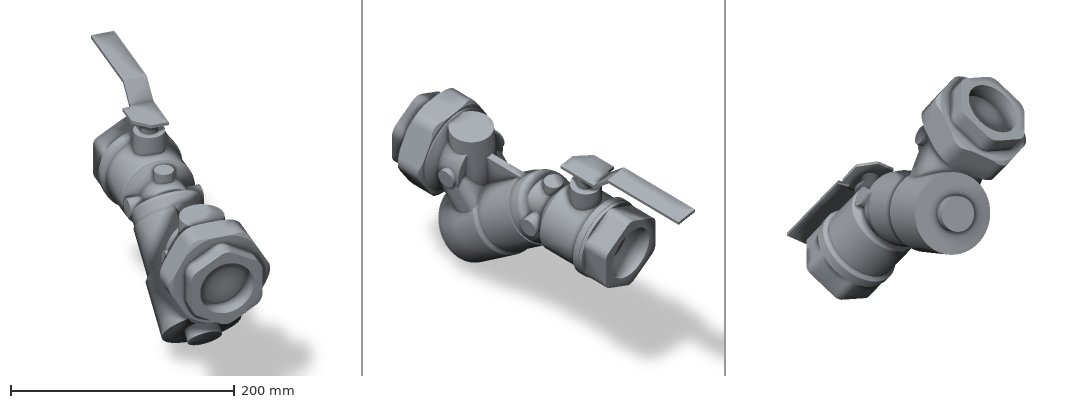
import cadquery as cq
import math


HEX_APOTHEM = 34.0
INLET_HEX_LENGTH = 25.3
INLET_HEX_ROUND = 9.0
PORT_RADIUS = 25.5
COLLAR_STEP_X = 28.8
COLLAR_END_X = 35.0
COLLAR_STEP_RADIUS = 38.0
COLLAR_RADIUS = 38.7
BALL_START_X = 37.8
BALL_END_X = 76.0
BALL_RADIUS = 35.2
BALL_ROUND_X = 78.0
BALL_ROUND_RADIUS = 34.0
NECK_START_X = 87.7
NECK_END_X = 109.8
NECK_RADIUS = 23.5
NECK_ROUND = 4.0

STEM_X = 53.0
BOSS_RADIUS = 14.5
BOSS_TOP = 53.0
STEM_RADIUS = 8.0
LEVER_THICKNESS = 3.2
LEVER_TOP = 70.5
GRIP_TOP = 87.0
GRIP_LEFT_X = -66.5
GRIP_RIGHT_X = 12.8
LEVER_UPPER_BEND_X = 17.5
LEVER_BEND_ANGLE = 45.0
LEVER_RIGHT_X = 73.5
LEVER_HALF_WIDTH = 11.2
TAB_LEFT_X = 36.5
TAB_Y = -19.2
TAB_CHAMFER = 13.8

LUG_RADIUS = 9.0
INLET_LUG_X = 91.2
SIDE_LUG_REACH = 35.2
TOP_LUG_TOP = 32.5

STRAINER_ANGLE = 40.0
STRAINER_X = 96.0
HEAD_START = -1.0
HEAD_END = 15.0
HEAD_RADIUS = 33.0
HEAD_ROUND = 4.8
TUBE_RADIUS = 34.2
TUBE_END = 62.5
CUP_START = 66.2
CUP_END = 120.0
CUP_RADIUS = 37.0
PLUG_END = 131.2
PLUG_RADIUS = 16.0

ARM_START = 63.0
ARM_ROUND_CENTRE = 80.3
ARM_HALF_WIDTH = 30.0
ARM_CORNER_ROUND = 8.0
ARM_LENGTH = 128.0

OUTLET_X = 188.8
OUTLET_START_X = 178.0
OUTLET_RADIUS = 31.0
CONE_START_X = 201.3
CONE_END_X = 207.7
FLANGE_RADIUS = 41.5
NUT_START_X = 208.5
UPRIGHT_TOP = 39.5
UPRIGHT_BOTTOM = -19.2
UPRIGHT_RADIUS = 20.5
UPRIGHT_DRAFT = 3.5
RIB_THICKNESS = 7.0
RIB_TOP = 17.3
RIB_BOTTOM = -12.8
RIB_START_X = 115.2

NUT_END_X = 236.0
NUT_APOTHEM = 44.0
NUT_ROUND = 13.8
NUT_CHAMFER_RADIUS = 44.8
NUT_CHAMFER_ANGLE = 30.0
TAIL_END_X = 253.5
TAIL_HEX_ROUND = 12.0

strainer_tilt = math.radians(STRAINER_ANGLE)
strainer_plane = cq.Plane(
    origin=(STRAINER_X, 0, 0),
    xDir=(math.cos(strainer_tilt), 0, -math.sin(strainer_tilt)),
    normal=(math.sin(strainer_tilt), 0, math.cos(strainer_tilt)),
)


def spin(profile):
    """Revolve a closed profile about the local x axis."""
    return profile.close().revolve(360, (0, 0, 0), (1, 0, 0))


def cylinder_x(start, end, radius):
    return cq.Workplane("YZ", origin=(start, 0, 0)).circle(radius).extrude(end - start)


def cylinder_z(x, bottom, top, radius):
    return cq.Workplane("XY", origin=(x, 0, bottom)).circle(radius).extrude(top - bottom)


def beam(start, end, width, bottom, top):
    """Rectangular block along X, centred on Y = 0."""
    block = cq.Workplane("XY").box(end - start, width, top - bottom, centered=(False, True, False))
    return block.translate((start, 0, bottom))


def rounded_hexagon(start, end, apothem, corner_round, corner_angle):
    """Hexagonal prism along X with rounded edges; corner_angle is measured from +Y."""
    corner_distance = apothem / math.cos(math.pi / 6)
    corners = []
    for i in range(6):
        angle = math.radians(corner_angle + 60 * i)
        corners.append((corner_distance * math.cos(angle), corner_distance * math.sin(angle)))
    prism = cq.Workplane("YZ", origin=(start, 0, 0)).polyline(corners).close().extrude(end - start)
    return prism.edges("|X").fillet(corner_round)


def side_lugs(x):
    """Round lug through the housing, standing out on both sides."""
    return cq.Workplane("XZ", origin=(x, 0, 0)).circle(LUG_RADIUS).extrude(SIDE_LUG_REACH, both=True)


def make_inlet():
    hexagon = rounded_hexagon(0, INLET_HEX_LENGTH, HEX_APOTHEM, INLET_HEX_ROUND, 90)
    barrel = spin(
        cq.Workplane("XY")
        .moveTo(INLET_HEX_LENGTH, 0)
        .lineTo(INLET_HEX_LENGTH, COLLAR_STEP_RADIUS)
        .lineTo(COLLAR_STEP_X, COLLAR_STEP_RADIUS)
        .lineTo(COLLAR_STEP_X, COLLAR_RADIUS)
        .lineTo(COLLAR_END_X, COLLAR_RADIUS)
        .lineTo(BALL_START_X, BALL_RADIUS)
        .lineTo(BALL_END_X, BALL_RADIUS)
        .tangentArcPoint((BALL_ROUND_X, BALL_ROUND_RADIUS), relative=False)
        .lineTo(NECK_START_X, NECK_RADIUS)
        .lineTo(NECK_END_X - NECK_ROUND, NECK_RADIUS)
        .tangentArcPoint((NECK_END_X, NECK_RADIUS - NECK_ROUND), relative=False)
        .lineTo(NECK_END_X, 0)
    )
    stem_boss = cylinder_z(STEM_X, 0, BOSS_TOP, BOSS_RADIUS)
    top_lug = cylinder_z(INLET_LUG_X, 0, TOP_LUG_TOP, LUG_RADIUS)
    return hexagon.union(barrel).union(stem_boss).union(top_lug).union(side_lugs(INLET_LUG_X))


def make_strainer():
    return spin(
        cq.Workplane(strainer_plane)
        .moveTo(HEAD_START, 0)
        .lineTo(HEAD_START, HEAD_RADIUS - HEAD_ROUND)
        .radiusArc((HEAD_START + HEAD_ROUND, HEAD_RADIUS), HEAD_ROUND)
        .lineTo(HEAD_END, HEAD_RADIUS)
        .lineTo(HEAD_END, TUBE_RADIUS)
        .lineTo(TUBE_END, TUBE_RADIUS)
        .lineTo(CUP_START, CUP_RADIUS)
        .lineTo(CUP_END, CUP_RADIUS)
        .lineTo(CUP_END, PLUG_RADIUS)
        .lineTo(PLUG_END, PLUG_RADIUS)
        .lineTo(PLUG_END, 0)
    )


def make_arm():
    """Arm square to the strainer: rounded front corners and a half-round back."""
    arm = (
        cq.Workplane(strainer_plane)
        .moveTo(ARM_START, -ARM_HALF_WIDTH)
        .lineTo(ARM_ROUND_CENTRE, -ARM_HALF_WIDTH)
        .threePointArc((ARM_ROUND_CENTRE + ARM_HALF_WIDTH, 0), (ARM_ROUND_CENTRE, ARM_HALF_WIDTH))
        .lineTo(ARM_START, ARM_HALF_WIDTH)
        .close()
        .extrude(ARM_LENGTH)
    )
    along_arm = cq.selectors.ParallelDirSelector(strainer_plane.zDir)
    front_face = cq.selectors.DirectionMinMaxSelector(strainer_plane.xDir, directionMax=False)
    arm = arm.faces(front_face).edges(along_arm).fillet(ARM_CORNER_ROUND)
    below_axis = beam(0, NUT_START_X, 2 * ARM_HALF_WIDTH, -ARM_LENGTH, 0)
    return arm.intersect(below_axis)


def make_outlet():
    barrel = spin(
        cq.Workplane("XY")
        .moveTo(OUTLET_START_X, 0)
        .lineTo(OUTLET_START_X, OUTLET_RADIUS)
        .lineTo(CONE_START_X, OUTLET_RADIUS)
        .lineTo(CONE_END_X, FLANGE_RADIUS)
        .lineTo(NUT_START_X, FLANGE_RADIUS)
        .lineTo(NUT_START_X, 0)
    )
    upright = (
        cq.Workplane("XY", origin=(OUTLET_X, 0, UPRIGHT_TOP))
        .circle(UPRIGHT_RADIUS)
        .extrude(UPRIGHT_BOTTOM - UPRIGHT_TOP, taper=-UPRIGHT_DRAFT)
    )
    rib = beam(RIB_START_X, OUTLET_X, RIB_THICKNESS, RIB_BOTTOM, RIB_TOP)
    return barrel.union(upright).union(rib).union(side_lugs(OUTLET_X))


def make_housing():
    housing = make_inlet().union(make_strainer()).union(make_arm()).union(make_outlet())
    housing = housing.cut(cylinder_x(NUT_START_X, NUT_END_X, FLANGE_RADIUS))
    return housing.cut(cylinder_x(0, INLET_HEX_LENGTH, PORT_RADIUS))


def make_stem():
    return cylinder_z(STEM_X, BOSS_TOP, LEVER_TOP, STEM_RADIUS)


def make_lever():
    """Cranked strip ending in a wider tab that is bored for the stem."""
    bend = math.radians(LEVER_BEND_ANGLE)
    lower_bend_x = LEVER_UPPER_BEND_X + (GRIP_TOP - LEVER_TOP) / math.tan(bend)
    underside_shift = LEVER_THICKNESS * math.tan(bend / 2)
    strip = (
        cq.Workplane("XZ")
        .moveTo(GRIP_RIGHT_X, GRIP_TOP)
        .lineTo(LEVER_UPPER_BEND_X, GRIP_TOP)
        .lineTo(lower_bend_x, LEVER_TOP)
        .lineTo(TAB_LEFT_X, LEVER_TOP)
        .lineTo(TAB_LEFT_X, LEVER_TOP - LEVER_THICKNESS)
        .lineTo(lower_bend_x - underside_shift, LEVER_TOP - LEVER_THICKNESS)
        .lineTo(LEVER_UPPER_BEND_X - underside_shift, GRIP_TOP - LEVER_THICKNESS)
        .lineTo(GRIP_RIGHT_X, GRIP_TOP - LEVER_THICKNESS)
        .close()
        .extrude(LEVER_HALF_WIDTH, both=True)
    )
    tab_outline = [
        (TAB_LEFT_X, LEVER_HALF_WIDTH),
        (TAB_LEFT_X, TAB_Y),
        (LEVER_RIGHT_X - TAB_CHAMFER, TAB_Y),
        (LEVER_RIGHT_X, TAB_Y + TAB_CHAMFER),
        (LEVER_RIGHT_X, LEVER_HALF_WIDTH),
    ]
    tab = (
        cq.Workplane("XY", origin=(0, 0, LEVER_TOP - LEVER_THICKNESS))
        .polyline(tab_outline).close().extrude(LEVER_THICKNESS)
    )
    return strip.union(tab).cut(make_stem())


def make_grip():
    return beam(GRIP_LEFT_X, GRIP_RIGHT_X, 2 * LEVER_HALF_WIDTH, GRIP_TOP - LEVER_THICKNESS, GRIP_TOP)


def make_nut():
    """Hexagon nut whose corners are turned down by a cone at each end."""
    hexagon = rounded_hexagon(NUT_START_X, NUT_END_X, NUT_APOTHEM, NUT_ROUND, 0)
    corner_radius = NUT_APOTHEM / math.cos(math.pi / 6)
    chamfer_length = (corner_radius - NUT_CHAMFER_RADIUS) * math.tan(math.radians(NUT_CHAMFER_ANGLE))
    envelope = spin(
        cq.Workplane("XY")
        .moveTo(NUT_START_X, 0)
        .lineTo(NUT_START_X, NUT_CHAMFER_RADIUS)
        .lineTo(NUT_START_X + chamfer_length, corner_radius)
        .lineTo(NUT_END_X - chamfer_length, corner_radius)
        .lineTo(NUT_END_X, NUT_CHAMFER_RADIUS)
        .lineTo(NUT_END_X, 0)
    )
    return hexagon.intersect(envelope)


def make_tailpiece():
    """Outlet hexagon with a port matching the inlet."""
    hexagon = rounded_hexagon(NUT_END_X, TAIL_END_X, HEX_APOTHEM, TAIL_HEX_ROUND, 90)
    return hexagon.cut(cylinder_x(NUT_END_X, TAIL_END_X, PORT_RADIUS))


housing = make_housing()
stem = make_stem()
lever = make_lever()
grip = make_grip()
nut = make_nut()
tailpiece = make_tailpiece()

result = cq.Compound.makeCompound([
    housing.val(),
    stem.val(),
    lever.val(),
    grip.val(),
    nut.val(),
    tailpiece.val(),
])